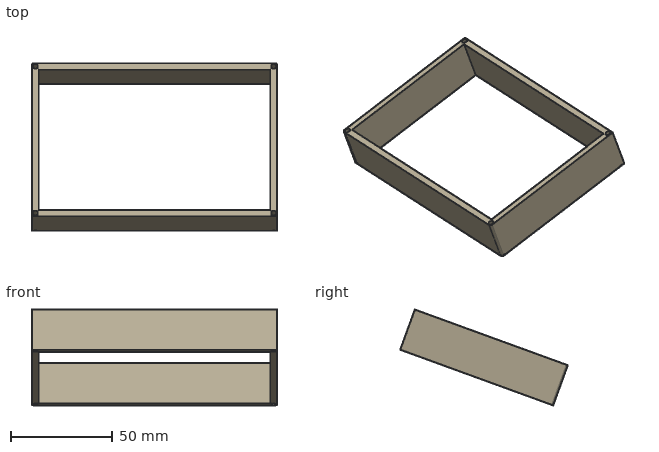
import cadquery as cq

frame_width = 121.3
frame_length = 80.7
frame_height = 21.2
wall = 3.4
tilt_angle = 20.0

hole_diameter = 2.5
hole_inset = wall / 2

edge_radius = 1.0


def make_frame():
    outer = cq.Workplane("XY").box(frame_width, frame_length, frame_height)
    outer = outer.edges("|Z and >Y").fillet(edge_radius)
    opening = cq.Workplane("XY").box(
        frame_width - 2 * wall,
        frame_length - 2 * wall,
        frame_height,
    )
    return outer.cut(opening)


def drill_corners(frame):
    return (
        frame.faces(">Z")
        .workplane(origin=(0, 0, 0))
        .rect(frame_width - 2 * hole_inset, frame_length - 2 * hole_inset, forConstruction=True)
        .vertices()
        .hole(hole_diameter)
    )


result = drill_corners(make_frame()).rotate((0, 0, 0), (1, 0, 0), -tilt_angle)